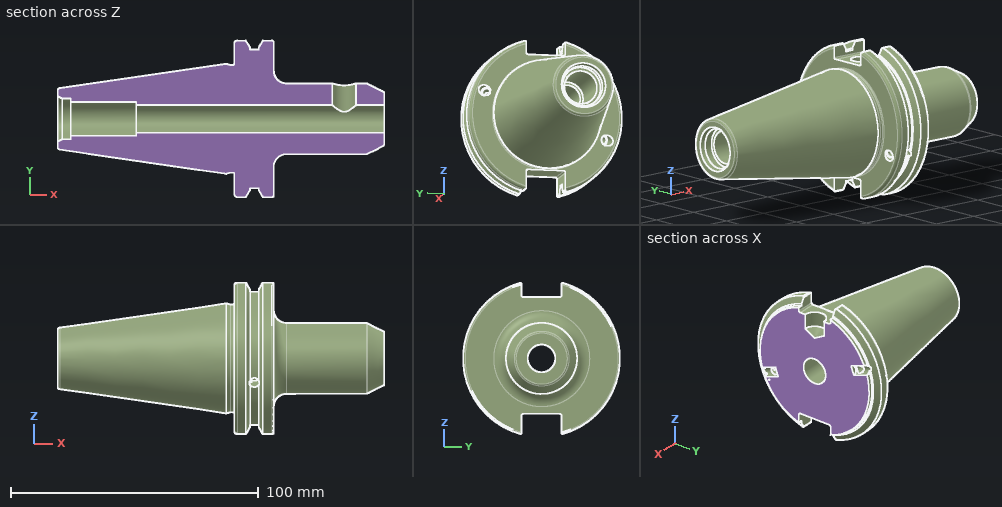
import cadquery as cq
import math

length = 131.8
gauge_x = 68.0
neck_x = 69.5
flange_x = 71.1
flange_width = 16.1
flange_end_x = flange_x + flange_width
groove_x = 79.3
nose_x = 124.6

taper_diameter = 44.5
taper_ratio = 7 / 24
small_end_diameter = taper_diameter - gauge_x * taper_ratio
neck_diameter = 43.6
flange_diameter = 63.4
shank_diameter = 28.7
nose_diameter = 21.6

small_end_round = 0.9
flange_front_round = 1.3
flange_rear_round = 0.8
shank_fillet = 5.0
nose_round = 0.8
nose_shoulder_round = 1.2
neck_fillet = 0.4

groove_diameter = 56.1
groove_floor_width = 3.4
groove_mouth_width = 6.7
groove_wall_angle = 30.0

slot_width = 16.1
top_slot_height = 24.8
bottom_slot_height = 22.4
slot_corner_round = 0.7
slot_bevel = 0.5

pocket_diameter = 9.5
pocket_depth = 6.6
pocket_point_depth = 2.6

bore_diameter = 11.1
thread_diameter = 13.5
thread_end_x = 31.6
recess_diameter = 16.3
recess_depth = 5.3
recess_mouth_diameter = 18.2
recess_mouth_depth = 1.8

screw_diameter = 9.5
screw_x = 115.5

coolant_angle = 20.3
coolant_radius = 27.0
coolant_entry_diameter = 4.2
coolant_entry_depth = 2.6
coolant_inner_diameter = 3.3
coolant_tilt = 30.0
coolant_outlet_diameter = 4.0
coolant_outlet_depth = 7.2


def revolve_about_x(outline):
    """Revolve a closed XY outline, drawn as (x, radius), about the X axis."""
    return outline.close().revolve(360, (0, 0, 0), (1, 0, 0))


def cylinder(start, direction, diameter, depth):
    """Solid cylinder from a start point along a direction."""
    return cq.Workplane(
        cq.Solid.makeCylinder(diameter / 2, depth, cq.Vector(*start), cq.Vector(*direction))
    )


def taper():
    """Steep taper with a short relieved neck running up to the flange."""
    cone = revolve_about_x(
        cq.Workplane("XY")
        .lineTo(0, small_end_diameter / 2)
        .lineTo(gauge_x, taper_diameter / 2)
        .lineTo(neck_x, neck_diameter / 2)
        .lineTo(flange_x, neck_diameter / 2)
        .lineTo(flange_x, 0)
    )
    return cone.faces("<X").edges().fillet(small_end_round)


def flange():
    """Flange disc with rounded rims, before the groove is cut."""
    disc = cylinder((flange_x, 0, 0), (1, 0, 0), flange_diameter, flange_width)
    disc = disc.faces("<X").edges().fillet(flange_front_round)
    return disc.faces(">X").edges().fillet(flange_rear_round)


def shank():
    """Straight shank blending out of the flange and ending in a conical nose."""
    radius = shank_diameter / 2
    blend_mid = shank_fillet * (1 - math.sqrt(0.5))
    body = revolve_about_x(
        cq.Workplane("XY")
        .moveTo(flange_end_x, 0)
        .lineTo(flange_end_x, radius + shank_fillet)
        .threePointArc(
            (flange_end_x + blend_mid, radius + blend_mid),
            (flange_end_x + shank_fillet, radius),
        )
        .lineTo(nose_x, radius)
        .lineTo(length, nose_diameter / 2)
        .lineTo(length, 0)
    )
    body = body.faces(">X").edges().fillet(nose_round)
    shoulder = cq.selectors.NearestToPointSelector((nose_x, 0, 0))
    return body.edges("%CIRCLE").edges(shoulder).fillet(nose_shoulder_round)


def gripper_groove():
    """Ring cutter with a flat floor, short upright sides and sloping walls."""
    half_floor = groove_floor_width / 2
    half_mouth = groove_mouth_width / 2
    rim = flange_diameter / 2
    wall_foot = rim - (half_mouth - half_floor) / math.tan(math.radians(groove_wall_angle))
    return revolve_about_x(
        cq.Workplane("XY")
        .moveTo(groove_x - half_floor, groove_diameter / 2)
        .lineTo(groove_x - half_floor, wall_foot)
        .lineTo(groove_x - half_mouth, rim)
        .lineTo(groove_x + half_mouth, rim)
        .lineTo(groove_x + half_floor, wall_foot)
        .lineTo(groove_x + half_floor, groove_diameter / 2)
    )


def drive_slot(floor_height, side):
    """Slot across the flange; side is +1 for the top and -1 for the bottom."""
    half_width = slot_width / 2
    rim = flange_diameter / 2
    bevel_foot = math.sqrt(rim**2 - half_width**2) - slot_bevel
    slot = (
        cq.Workplane("YZ")
        .moveTo(-half_width, floor_height)
        .lineTo(half_width, floor_height)
        .lineTo(half_width, bevel_foot)
        .lineTo(half_width + rim - bevel_foot, rim)
        .lineTo(-half_width - rim + bevel_foot, rim)
        .lineTo(-half_width, bevel_foot)
        .close()
        .extrude(flange_width)
    )
    slot = slot.faces("<Z").edges("|X").fillet(slot_corner_round)
    slot = slot.translate((flange_x, 0, 0))
    if side < 0:
        slot = slot.rotate((0, 0, 0), (1, 0, 0), 180)
    return slot


def slot_pocket():
    """Round blind pocket with a conical point."""
    radius = pocket_diameter / 2
    return (
        cq.Workplane("XZ")
        .lineTo(radius, 0)
        .lineTo(radius, -pocket_depth)
        .lineTo(0, -pocket_depth - pocket_point_depth)
        .close()
        .revolve(360, (0, 0, 0), (0, 1, 0))
        .translate((groove_x, 0, top_slot_height))
    )


def axial_bore():
    """Through bore with a threaded length and a recess at the small taper end."""
    return revolve_about_x(
        cq.Workplane("XY")
        .lineTo(0, recess_mouth_diameter / 2)
        .lineTo(recess_mouth_depth, recess_diameter / 2)
        .lineTo(recess_depth, recess_diameter / 2)
        .lineTo(recess_depth, thread_diameter / 2)
        .lineTo(thread_end_x, thread_diameter / 2)
        .lineTo(thread_end_x, bore_diameter / 2)
        .lineTo(length, bore_diameter / 2)
        .lineTo(length, 0)
    )


def coolant_passage():
    """Stepped hole sloping inward from the flange face, met by a radial hole from the groove."""
    start = (flange_x, coolant_radius, 0)
    tilt = math.radians(coolant_tilt)
    slope = (math.cos(tilt), -math.sin(tilt), 0)
    inner_depth = flange_width / 2 / math.cos(tilt)
    entry = cylinder(start, slope, coolant_entry_diameter, coolant_entry_depth)
    opening = cylinder(start, tuple(-step for step in slope), coolant_entry_diameter, coolant_entry_depth)
    inner = cylinder(start, slope, coolant_inner_diameter, inner_depth)
    outlet_bottom = groove_diameter / 2 - coolant_outlet_depth
    outlet = cylinder(
        (groove_x, outlet_bottom, 0),
        (0, 1, 0),
        coolant_outlet_diameter,
        flange_diameter / 2 - outlet_bottom,
    )
    return entry.union(opening).union(inner).union(outlet)


body = taper().union(flange()).union(shank())
neck_root = cq.selectors.BoxSelector(
    (flange_x - neck_fillet, -neck_diameter, -neck_diameter),
    (flange_x + neck_fillet, neck_diameter, neck_diameter),
)
body = body.edges(neck_root).edges(cq.selectors.RadiusNthSelector(0)).fillet(neck_fillet)

body = body.cut(gripper_groove())
body = body.cut(drive_slot(top_slot_height, 1))
body = body.cut(drive_slot(bottom_slot_height, -1))
body = body.cut(slot_pocket())
for half_turn in (0, 180):
    passage = coolant_passage().rotate((0, 0, 0), (1, 0, 0), coolant_angle + half_turn)
    body = body.cut(passage)

body = body.cut(axial_bore())
body = body.cut(cylinder((screw_x, 0, 0), (0, 1, 0), screw_diameter, shank_diameter))

result = body